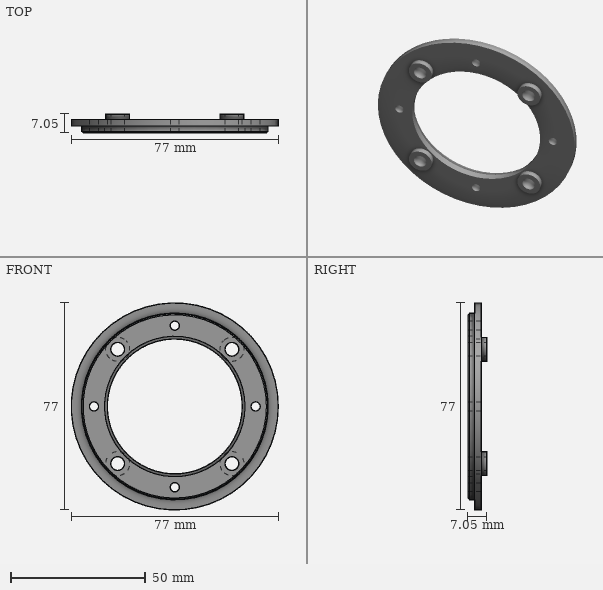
import cadquery as cq

FLANGE_RADIUS = 38.5
FLANGE_THICKNESS = 2.55
SPIGOT_RADIUS = 34.7
SPIGOT_LENGTH = 2.5
LIP_LENGTH = 0.55
LIP_LEDGE = 0.2
LIP_FACE_RADIUS = 34.0
BORE_RADIUS = 25.0
COUNTERBORE_RADIUS = 26.1
COUNTERBORE_DEPTH = SPIGOT_LENGTH
BOSS_RADIUS = 4.5
BOSS_HEIGHT = 2.0
HOLE_CIRCLE_RADIUS = 30.0
BOSS_HOLE_DIAMETER = 5.0
SMALL_HOLE_DIAMETER = 3.3
HOLES_PER_SET = 4
BOSS_START_ANGLE = 45
SMALL_HOLE_START_ANGLE = 0

FLANGE_BACK = SPIGOT_LENGTH + FLANGE_THICKNESS
OVERALL_LENGTH = FLANGE_BACK + BOSS_HEIGHT


def ring_body():
    """Revolve the flange, spigot with its chamfered lip, and stepped bore about Y."""
    profile = [
        (COUNTERBORE_RADIUS, 0),
        (LIP_FACE_RADIUS, 0),
        (SPIGOT_RADIUS - LIP_LEDGE, LIP_LENGTH),
        (SPIGOT_RADIUS, LIP_LENGTH),
        (SPIGOT_RADIUS, SPIGOT_LENGTH),
        (FLANGE_RADIUS, SPIGOT_LENGTH),
        (FLANGE_RADIUS, FLANGE_BACK),
        (BORE_RADIUS, FLANGE_BACK),
        (BORE_RADIUS, COUNTERBORE_DEPTH),
        (COUNTERBORE_RADIUS, COUNTERBORE_DEPTH),
    ]
    return cq.Workplane("XY").polyline(profile).close().revolve(360, (0, 0), (0, 1))


def cylinders(diameter, start_angle, y_start, y_end):
    """Four equally spaced cylinders on the hole circle, parallel to Y."""
    return (
        cq.Workplane("XZ", origin=(0, y_start, 0))
        .polarArray(HOLE_CIRCLE_RADIUS, start_angle, 360, HOLES_PER_SET)
        .circle(diameter / 2)
        .extrude(y_start - y_end)
    )


bosses = cylinders(2 * BOSS_RADIUS, BOSS_START_ANGLE, SPIGOT_LENGTH, OVERALL_LENGTH)
boss_holes = cylinders(BOSS_HOLE_DIAMETER, BOSS_START_ANGLE, 0, OVERALL_LENGTH)
small_holes = cylinders(SMALL_HOLE_DIAMETER, SMALL_HOLE_START_ANGLE, 0, FLANGE_BACK)

result = ring_body().union(bosses).cut(boss_holes).cut(small_holes)